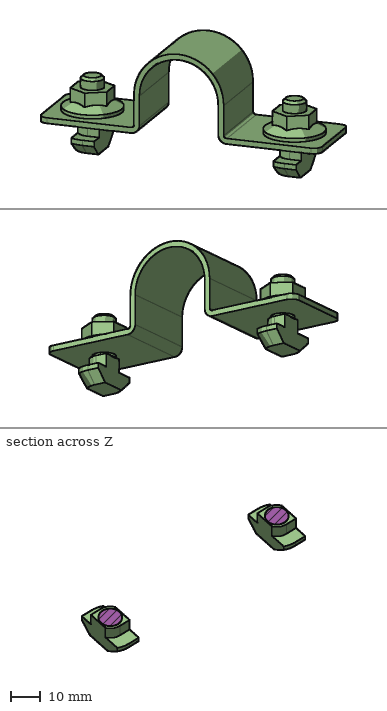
import cadquery as cq
import math

length = 100.0
width = 28.0
thickness = 2.0
arch_outer_radius = 16.0
strap_height = 29.5
foot_corner_radius = 3.0
bend_inner_radius = 1.0

bolt_edge_distance = 14.0
bolt_x = length / 2 - bolt_edge_distance
shank_radius = 4.0
shank_projection = 12.0
shank_top = thickness + shank_projection
tip_chamfer = 1.0

nut_across_flats = 13.0
nut_height = 7.9
flange_radius = 10.5
flange_rim = 1.3
cone_top_radius = nut_across_flats / 2
cone_height = 2.2

head_width = 8.5
head_half_length = 9.8
head_bottom_half_length = 5.7
neck_half_length = 5.0
neck_top = -1.2
head_top = -5.9
head_chamfer_top = -7.7
head_bottom = -11.7


def make_strap():
    """Bent strip: two feet, two upright legs and a half-round arch."""
    arch_z = strap_height - arch_outer_radius
    arch_inner_radius = arch_outer_radius - thickness
    bend_outer_radius = bend_inner_radius + thickness
    half = length / 2
    strap = (
        cq.Workplane("XZ")
        .moveTo(-half, 0)
        .lineTo(-arch_inner_radius, 0)
        .lineTo(-arch_inner_radius, arch_z)
        .threePointArc((0, arch_z + arch_inner_radius), (arch_inner_radius, arch_z))
        .lineTo(arch_inner_radius, 0)
        .lineTo(half, 0)
        .lineTo(half, thickness)
        .lineTo(arch_outer_radius, thickness)
        .lineTo(arch_outer_radius, arch_z)
        .threePointArc((0, strap_height), (-arch_outer_radius, arch_z))
        .lineTo(-arch_outer_radius, thickness)
        .lineTo(-half, thickness)
        .close()
        .extrude(width / 2, both=True)
    )
    for side in (-1, 1):
        underside_bend = cq.NearestToPointSelector((side * arch_inner_radius, 0, 0))
        strap = strap.edges("|Y").edges(underside_bend).fillet(bend_outer_radius)
        topside_bend = cq.NearestToPointSelector((side * arch_outer_radius, 0, thickness))
        strap = strap.edges("|Y").edges(topside_bend).fillet(bend_inner_radius)
    return strap.edges("|Z and (<X or >X)").fillet(foot_corner_radius)


def make_nut():
    """Hexagon with corners toward +Y and -Y, on a conical flange."""
    hexagon = (
        cq.Workplane("XY", origin=(0, 0, thickness))
        .polygon(6, nut_across_flats / math.cos(math.pi / 6))
        .extrude(nut_height)
        .rotate((0, 0, 0), (0, 0, 1), 30)
    )
    flange = (
        cq.Workplane("XZ", origin=(0, 0, thickness))
        .lineTo(flange_radius, 0)
        .lineTo(flange_radius, flange_rim)
        .lineTo(cone_top_radius, flange_rim + cone_height)
        .lineTo(0, flange_rim + cone_height)
        .close()
        .revolve()
    )
    return hexagon.union(flange)


def make_shank():
    """Round shank from the hammer head up to its chamfered tip."""
    return (
        cq.Workplane("XY", origin=(0, 0, head_top))
        .circle(shank_radius)
        .extrude(shank_top - head_top)
        .faces(">Z")
        .chamfer(tip_chamfer)
    )


def make_hammer_head():
    """T-shaped head: two opposite quadrants are round so that it can turn in a slot."""
    half_profile = [
        (0, neck_top),
        (neck_half_length, neck_top),
        (neck_half_length, head_top),
        (head_half_length, head_top),
        (head_half_length, head_chamfer_top),
        (head_bottom_half_length, head_bottom),
        (0, head_bottom),
    ]
    mirrored_profile = [(-y, z) for y, z in reversed(half_profile[1:-1])]
    block = (
        cq.Workplane("YZ")
        .polyline(half_profile + mirrored_profile)
        .close()
        .extrude(head_width / 2, both=True)
    )
    round_head = cq.Workplane("XZ").polyline(half_profile).close().revolve()

    quadrant_height = neck_top - head_bottom
    for side in (-1, 1):
        quadrant = (
            cq.Workplane("XY", origin=(0, 0, head_bottom))
            .rect(side * head_width / 2, side * head_half_length, centered=False)
            .extrude(quadrant_height)
        )
        block = block.cut(quadrant.cut(round_head))
    return block


bolt = make_shank().union(make_hammer_head()).union(make_nut())

result = make_strap()
for x in (-bolt_x, bolt_x):
    result = result.union(bolt.translate((x, 0, 0)))